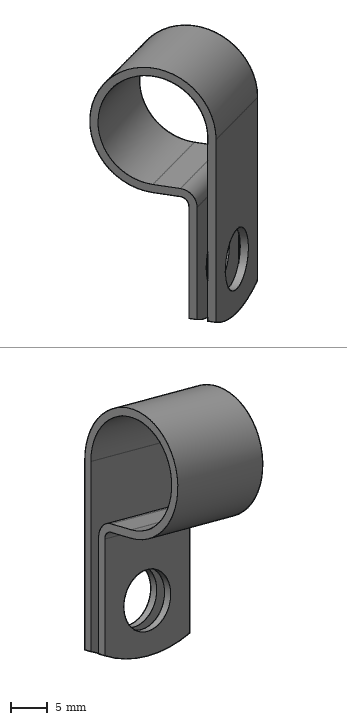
import cadquery as cq
import math

loop_radius = 9.15
thickness = 1.2
width = 15.9
height = 37.65
short_leg_face = 6.4
bend_inner_radius = 1.2
hole_diameter = 8.75
hole_drop = 20.63
end_sagitta = 1.65

bore_radius = loop_radius - thickness
bend_outer_radius = bend_inner_radius + thickness
bottom = loop_radius - height
short_leg_back = short_leg_face - thickness
bend_x = short_leg_face - bend_outer_radius
bend_z = -bore_radius - bend_outer_radius
half_width = width / 2


def bent_strip():
    """Three-quarter loop, a long tangent leg and a short leg bent down."""
    diagonal = math.sqrt(0.5)
    return (
        cq.Workplane("XZ")
        .moveTo(loop_radius, bottom)
        .lineTo(loop_radius, 0)
        .threePointArc((-loop_radius * diagonal, loop_radius * diagonal), (0, -loop_radius))
        .lineTo(bend_x, -loop_radius)
        .threePointArc(
            (bend_x + bend_inner_radius * diagonal, bend_z + bend_inner_radius * diagonal),
            (short_leg_back, bend_z),
        )
        .lineTo(short_leg_back, bottom)
        .lineTo(short_leg_face, bottom)
        .lineTo(short_leg_face, bend_z)
        .threePointArc(
            (bend_x + bend_outer_radius * diagonal, bend_z + bend_outer_radius * diagonal),
            (bend_x, -bore_radius),
        )
        .lineTo(0, -bore_radius)
        .threePointArc((-bore_radius * diagonal, bore_radius * diagonal), (bore_radius, 0))
        .lineTo(bore_radius, bottom)
        .close()
        .extrude(half_width, both=True)
    )


def rounded_end_envelope():
    """Block seen along X as the strip outline, with an arc across its bottom."""
    return (
        cq.Workplane("YZ")
        .moveTo(-half_width, loop_radius)
        .lineTo(-half_width, bottom + end_sagitta)
        .threePointArc((0, bottom), (half_width, bottom + end_sagitta))
        .lineTo(half_width, loop_radius)
        .close()
        .extrude(loop_radius, both=True)
    )


def screw_hole():
    """Cylinder along X that passes through both legs."""
    return (
        cq.Workplane("YZ")
        .center(0, -hole_drop)
        .circle(hole_diameter / 2)
        .extrude(loop_radius, both=True)
    )


result = bent_strip().intersect(rounded_end_envelope()).cut(screw_hole())